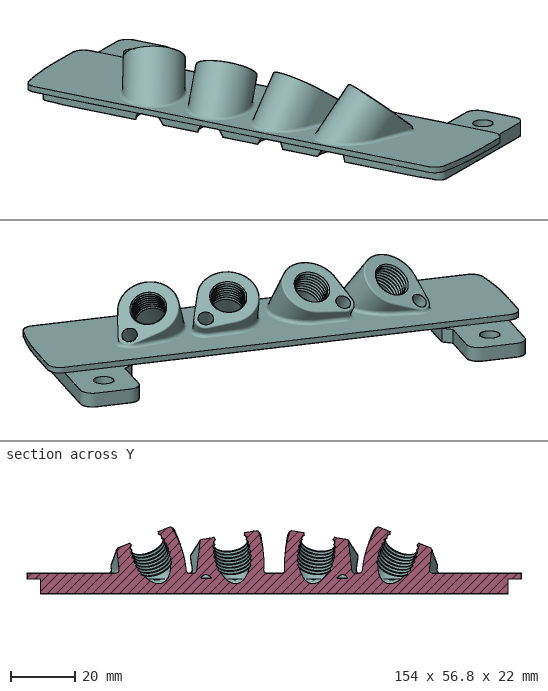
import cadquery as cq
import math

PLATE_LENGTH = 154.0
PLATE_DEPTH = 37.1
PLATE_BOTTOM = 4.6
PLATE_TOP = 6.5
PLATE_FRONT_HALF = 74.5
SIDE_ARC_START = 21.3
PLATE_CORNER_RADIUS = 4.0

FRAME_LENGTH = 145.5
FRAME_FRONT = 5.5
FRAME_BACK = 56.8
FRONT_BAR_BACK = 18.5
FRONT_CORNER_SETBACK = 0.5
SETBACK_OUTER = 67.9
SETBACK_INNER = 64.2
FRAME_FRONT_RADIUS = 2.6
TAB_WIDTH = 19.1
TAB_CORNER_RADIUS = 4.0
TAB_HOLE_DIAMETER = 6.3
TAB_HOLE_FROM_BACK = 9.9
LEG_FLARE_WIDTH = 3.0
LEG_FLARE_LENGTH = 2.2

FACE_CENTER_Y = 20.3
FACE_TOP = 22.2
SOCKETS = [(39.9, 22.0), (13.7, 9.0)]
BACK_TILT = 34.0
SOCKET_RADIUS = 9.7
BORE_DIAMETER = 10.6
THREAD_ROOT_DIAMETER = 11.5
THREAD_PITCH = 1.2
THREAD_TURNS = 8
LUG_RADIUS = 3.7
LUG_OFFSET = (-9.4, 5.4)
LUG_HOLE_DIAMETER = 4.8
LUG_HOLE_FLOOR = 5.0
RIM_FILLET = 0.5
FOOT_FILLET = 1.0
FOOT_ZONE_HALF = 61.6
EDGE_CLEARANCE = 0.2
SOCKET_LENGTH = 38.5


def make_plate():
    half = PLATE_LENGTH / 2
    drop = half - PLATE_FRONT_HALF
    arc_radius = (SIDE_ARC_START**2 + drop**2) / (2 * drop)
    mid_y = SIDE_ARC_START / 2
    mid_x = half - arc_radius + math.sqrt(arc_radius**2 - (SIDE_ARC_START - mid_y)**2)
    return (
        cq.Workplane("XY", origin=(0, 0, PLATE_BOTTOM))
        .moveTo(-PLATE_FRONT_HALF, 0)
        .lineTo(PLATE_FRONT_HALF, 0)
        .threePointArc((mid_x, mid_y), (half, SIDE_ARC_START))
        .lineTo(half, PLATE_DEPTH)
        .lineTo(-half, PLATE_DEPTH)
        .lineTo(-half, SIDE_ARC_START)
        .threePointArc((-mid_x, mid_y), (-PLATE_FRONT_HALF, 0))
        .close()
        .extrude(PLATE_TOP - PLATE_BOTTOM)
        .edges("|Z and (<Y or >Y)")
        .fillet(PLATE_CORNER_RADIUS)
    )


def make_frame():
    outer = FRAME_LENGTH / 2
    inner = outer - TAB_WIDTH
    flared = inner - LEG_FLARE_WIDTH
    corner_y = FRAME_FRONT + FRONT_CORNER_SETBACK
    right_half = [
        (SETBACK_INNER, FRAME_FRONT),
        (SETBACK_OUTER, corner_y),
        (outer, corner_y),
        (outer, FRAME_BACK),
        (inner, FRAME_BACK),
        (inner, PLATE_DEPTH + LEG_FLARE_LENGTH),
        (flared, PLATE_DEPTH),
        (flared, FRONT_BAR_BACK),
    ]
    left_half = [(-x, y) for x, y in reversed(right_half)]
    frame = cq.Workplane("XY").polyline(right_half + left_half).close().extrude(PLATE_BOTTOM)
    frame = frame.edges("|Z and >Y").fillet(TAB_CORNER_RADIUS)
    frame = frame.edges("|Z and (<X or >X)").edges("<Y").fillet(FRAME_FRONT_RADIUS)
    hole_x = outer - TAB_WIDTH / 2
    hole_y = FRAME_BACK - TAB_HOLE_FROM_BACK
    holes = (
        cq.Workplane("XY")
        .pushPoints([(-hole_x, hole_y), (hole_x, hole_y)])
        .circle(TAB_HOLE_DIAMETER / 2)
        .extrude(PLATE_BOTTOM)
    )
    return frame.cut(holes)


def socket_plane(distance, lean):
    """End face of a left-hand socket, its normal leaning back and to the left."""
    tilt = math.radians(BACK_TILT)
    side = math.radians(lean)
    upright = math.cos(side) * math.cos(tilt)
    center_z = FACE_TOP - SOCKET_RADIUS * math.sqrt(1 - upright**2)
    return cq.Plane(
        origin=(-distance, FACE_CENTER_Y, center_z),
        xDir=(math.cos(side), 0, math.sin(side)),
        normal=(-math.sin(side) * math.cos(tilt), math.sin(tilt), upright),
    )


def teardrop(plane):
    """Socket outline: the big circle and the lug circle joined by their common tangents."""
    lug_x, lug_y = LUG_OFFSET
    direction = math.atan2(lug_y, lug_x)
    spread = math.acos((SOCKET_RADIUS - LUG_RADIUS) / math.hypot(lug_x, lug_y))

    def on_socket(angle):
        return (SOCKET_RADIUS * math.cos(angle), SOCKET_RADIUS * math.sin(angle))

    def on_lug(angle):
        return (lug_x + LUG_RADIUS * math.cos(angle), lug_y + LUG_RADIUS * math.sin(angle))

    return (
        cq.Workplane(plane)
        .moveTo(*on_socket(direction + spread))
        .threePointArc(on_socket(direction + math.pi), on_socket(direction - spread))
        .lineTo(*on_lug(direction - spread))
        .threePointArc(on_lug(direction), on_lug(direction + spread))
        .close()
    )


def space_above(height):
    """Block covering everything higher than the given Z."""
    return (
        cq.Workplane("XY", origin=(0, 0, height))
        .rect(2 * PLATE_LENGTH, 2 * PLATE_LENGTH)
        .extrude(PLATE_LENGTH)
    )


def make_socket(plane):
    top_face = cq.selectors.DirectionMinMaxSelector(plane.zDir)
    socket = teardrop(plane).extrude(-SOCKET_LENGTH)
    socket = socket.faces(top_face).edges().fillet(RIM_FILLET)
    return socket.intersect(space_above(PLATE_TOP))


def make_holes(plane):
    """Through bore, its upper part ringed with V-shaped thread grooves, and the lug hole."""
    bore_radius = BORE_DIAMETER / 2
    root_radius = THREAD_ROOT_DIAMETER / 2
    profile = [(0, 0)]
    for turn in range(THREAD_TURNS):
        profile.append((root_radius, -turn * THREAD_PITCH))
        profile.append((bore_radius, -(turn + 0.5) * THREAD_PITCH))
    profile += [(bore_radius, -SOCKET_LENGTH), (0, -SOCKET_LENGTH)]

    side_plane = cq.Plane(origin=plane.origin, xDir=plane.xDir, normal=-plane.yDir)
    bore = cq.Workplane(side_plane).polyline(profile).close().revolve(360, (0, 0, 0), (0, 1, 0))
    lug_hole = cq.Workplane(plane).center(*LUG_OFFSET).circle(LUG_HOLE_DIAMETER / 2).extrude(-SOCKET_LENGTH)
    return bore.union(lug_hole.intersect(space_above(LUG_HOLE_FLOOR)))


def add_foot_fillets(deck):
    """Blend the sockets into the plate, leaving the plate's own edges sharp."""
    foot_zone = cq.selectors.BoxSelector(
        (-FOOT_ZONE_HALF, EDGE_CLEARANCE, PLATE_TOP - EDGE_CLEARANCE),
        (FOOT_ZONE_HALF, PLATE_DEPTH - EDGE_CLEARANCE, PLATE_TOP + EDGE_CLEARANCE),
        boundingbox=True,
    )
    return deck.edges(foot_zone).fillet(FOOT_FILLET)


planes = [socket_plane(distance, lean) for distance, lean in SOCKETS]

deck = make_plate()
for plane in planes:
    socket = make_socket(plane)
    deck = deck.union(socket).union(socket.mirror("YZ"))

result = add_foot_fillets(deck).union(make_frame())
for plane in planes:
    holes = make_holes(plane)
    result = result.cut(holes).cut(holes.mirror("YZ"))